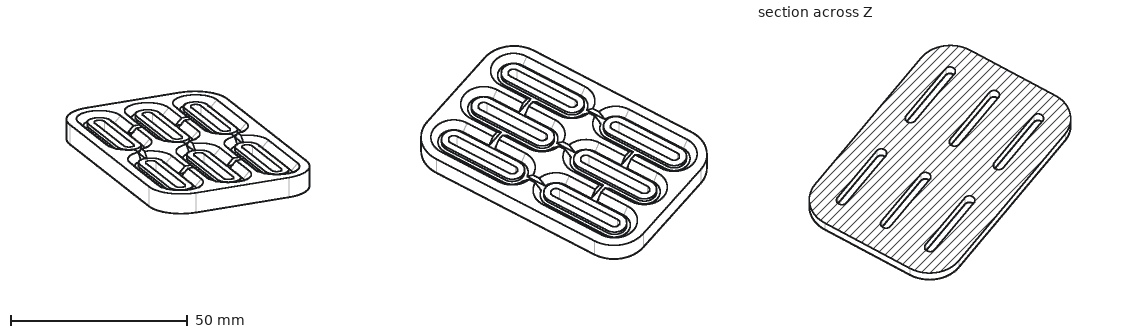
import cadquery as cq
import math

columns = 2
rows = 3
pocket_gap = 2.0
border = 3.0

straight_length = 20.0
rim_width = 13.0
floor_width = 9.0
pad_width = 7.0
slot_width = 3.0

plate_height = 6.0
pocket_depth = 2.0
pad_height = 1.0
floor_z = plate_height - pocket_depth

pitch_x = straight_length + rim_width + pocket_gap
pitch_y = rim_width + pocket_gap
plate_length = columns * pitch_x - pocket_gap + 2 * border
plate_width = rows * pitch_y - pocket_gap + 2 * border
corner_radius = 10.0

channel_width = 2.0
ledge_width = (floor_width - pad_width) / 2
channel_length = pocket_gap + rim_width - floor_width + ledge_width

column_centres = [(i - (columns - 1) / 2) * pitch_x for i in range(columns)]
row_centres = [(j - (rows - 1) / 2) * pitch_y for j in range(rows)]


def obround(width, z):
    """Slot outline of the given width, centred on the origin at height z."""
    return cq.Workplane("XY").workplane(offset=z).slot2D(straight_length + width, width)


def make_plate():
    """Plate with rounded corners standing on Z = 0."""
    plate = cq.Workplane("XY").box(plate_length, plate_width, plate_height, centered=(True, True, False))
    return plate.edges("|Z").fillet(corner_radius)


def make_pocket():
    """Cutter for one pocket with sloping walls, leaving a raised pad pierced by a slot."""
    taper_run = (rim_width - floor_width) / 2
    wall_angle = math.degrees(math.atan2(taper_run, pocket_depth))
    bowl = obround(floor_width, floor_z).extrude(pocket_depth, taper=-wall_angle)
    pad = obround(pad_width, floor_z).extrude(pad_height)
    slot = obround(slot_width, 0).extrude(plate_height)
    return bowl.cut(pad).union(slot)


def make_channel(length_x, length_y):
    """Cutter for a flat-bottomed channel open at the top face."""
    channel = cq.Workplane("XY").box(length_x, length_y, pocket_depth, centered=(True, True, False))
    return channel.translate((0, 0, floor_z))


result = make_plate()

pocket = make_pocket()
for x in column_centres:
    for y in row_centres:
        result = result.cut(pocket.translate((x, y, 0)))

channel_along_x = make_channel(channel_length, channel_width)
for x in column_centres[:-1]:
    for y in row_centres:
        result = result.cut(channel_along_x.translate((x + pitch_x / 2, y, 0)))

channel_along_y = make_channel(channel_width, channel_length)
for x in column_centres:
    for y in row_centres[:-1]:
        result = result.cut(channel_along_y.translate((x, y + pitch_y / 2, 0)))